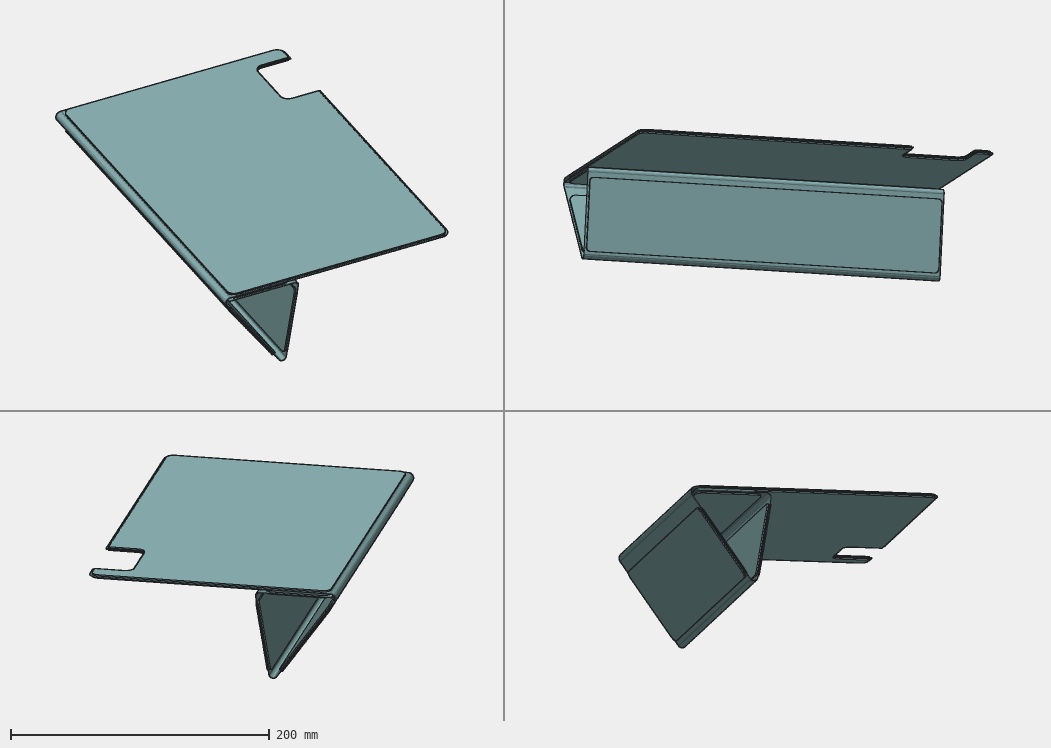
import cadquery as cq
import math

WIDTH = 289.0
DEPTH = 196.4
HEIGHT = 74.44
SHEET = 0.8
PAD = 1.1
LAYERS = SHEET + 2 * PAD
PAD_INSET = 1.75
PAD_CORNER_RADIUS = 6.0
REAR_LEG_PAD_CORNER_RADIUS = 3.0
SHEET_CORNER_RADIUS = 7.5
SHEET_EDGE_FILLET = 0.35

FRONT_RADIUS = 4.5
BOTTOM_RADIUS = 3.5
REAR_RADIUS = 3.5
FRONT_BEND = (FRONT_RADIUS, -PAD - FRONT_RADIUS)
BOTTOM_BEND = (49.8, BOTTOM_RADIUS - HEIGHT)
FLAP_TOP_Z = -LAYERS - PAD
REAR_BEND = (60.3, FLAP_TOP_Z - REAR_RADIUS)
FLAP_END_Y = 3.3

PAD_FRONT_Y = 5.3
FLAP_PAD_REAR_MARGIN = 3.0

FRONT_LEG_PAD_START = 10.3
FRONT_LEG_PAD_END = 75.7
REAR_LEG_PAD_START = 2.5
REAR_LEG_PAD_END = 60.0

NOTCH_WIDTH = 50.0
NOTCH_CENTER_X = -103.0
NOTCH_DEPTH = 31.0
NOTCH_RADIUS = 6.0
NOTCH_PAD_INSET = 0.75


def direction(start, end):
    length = math.dist(start, end)
    return ((end[0] - start[0]) / length, (end[1] - start[1]) / length)


def outward_normal(along):
    """Normal on the outer side of a panel whose sheet runs in the given direction."""
    return (along[1], -along[0])


def shifted(point, vector, distance):
    return (point[0] + vector[0] * distance, point[1] + vector[1] * distance)


def tangent_direction(start, start_radius, end, end_radius):
    """Direction of the straight panel that touches two bend circles on their outer side."""
    along = direction(start, end)
    tilt = math.asin((start_radius - end_radius) / math.dist(start, end))
    return (
        along[0] * math.cos(tilt) - along[1] * math.sin(tilt),
        along[0] * math.sin(tilt) + along[1] * math.cos(tilt),
    )


TO_FRONT = (-1.0, 0.0)
FRONT_LEG = tangent_direction(FRONT_BEND, FRONT_RADIUS, BOTTOM_BEND, BOTTOM_RADIUS)
REAR_LEG = tangent_direction(BOTTOM_BEND, BOTTOM_RADIUS, REAR_BEND, REAR_RADIUS)


def bend_points(center, along_in, along_out, radius):
    """Start, middle and end of the arc joining two panels."""
    normal_in = outward_normal(along_in)
    normal_out = outward_normal(along_out)
    middle = direction((0, 0), (normal_in[0] + normal_out[0], normal_in[1] + normal_out[1]))
    return [shifted(center, normal, radius) for normal in (normal_in, middle, normal_out)]


def sheet_face(depth):
    """The three bends at a depth below the outer face, from the top panel round to the flap."""
    return [
        bend_points(FRONT_BEND, TO_FRONT, FRONT_LEG, FRONT_RADIUS - depth),
        bend_points(BOTTOM_BEND, FRONT_LEG, REAR_LEG, BOTTOM_RADIUS - depth),
        bend_points(REAR_BEND, REAR_LEG, TO_FRONT, REAR_RADIUS - depth),
    ]


def folded_sheet():
    """Sheet running from the rear edge round the triangle, with softened side edges."""
    profile = cq.Workplane("YZ", origin=(-WIDTH / 2, 0, 0)).moveTo(DEPTH, -PAD)
    for start, middle, end in sheet_face(0):
        profile = profile.lineTo(*start).threePointArc(middle, end)
    profile = profile.lineTo(FLAP_END_Y, FLAP_TOP_Z).lineTo(FLAP_END_Y, FLAP_TOP_Z - SHEET)
    for start, middle, end in reversed(sheet_face(SHEET)):
        profile = profile.lineTo(*end).threePointArc(middle, start)
    sheet = profile.lineTo(DEPTH, -PAD - SHEET).close().extrude(WIDTH)
    rear_corners = cq.selectors.BoxSelector(
        (-WIDTH, DEPTH - SHEET, -LAYERS), (WIDTH, DEPTH + SHEET, 0)
    )
    sheet = sheet.edges("|Z").edges(rear_corners).fillet(SHEET_CORNER_RADIUS).cut(notch(0))
    side_edges = sheet.faces("<X or >X").edges("not |Z")
    return side_edges.fillet(SHEET_EDGE_FILLET)


def pad_pair(start, end, corner_radius):
    """Rounded pads on both faces of a panel; start and end lie on the middle of the sheet."""
    along = direction(start, end)
    length = math.dist(start, end)
    center = shifted(start, along, length / 2)
    plane = cq.Plane(origin=(0, *center), xDir=(1, 0, 0), normal=(0, *outward_normal(along)))
    return (
        cq.Workplane(plane)
        .rect(WIDTH - 2 * PAD_INSET, length)
        .extrude(LAYERS / 2, both=True)
        .edges(cq.selectors.ParallelDirSelector(plane.zDir))
        .fillet(corner_radius)
    )


def leg_pads(bend, bend_radius, along, pad_start, pad_end, corner_radius):
    """Pads of a leg, placed by distances along the leg from the bend it starts at."""
    middle = shifted(bend, outward_normal(along), bend_radius - SHEET / 2)
    start = shifted(middle, along, pad_start)
    end = shifted(middle, along, pad_end)
    return pad_pair(start, end, corner_radius)


def front_leg_pads():
    return leg_pads(
        FRONT_BEND,
        FRONT_RADIUS,
        FRONT_LEG,
        FRONT_LEG_PAD_START,
        FRONT_LEG_PAD_END,
        PAD_CORNER_RADIUS,
    )


def rear_leg_pads():
    return leg_pads(
        BOTTOM_BEND,
        BOTTOM_RADIUS,
        REAR_LEG,
        REAR_LEG_PAD_START,
        REAR_LEG_PAD_END,
        REAR_LEG_PAD_CORNER_RADIUS,
    )


def top_pads():
    middle_z = -LAYERS / 2
    pads = pad_pair((DEPTH - PAD_INSET, middle_z), (PAD_FRONT_Y, middle_z), PAD_CORNER_RADIUS)
    return pads.cut(notch(NOTCH_PAD_INSET))


def flap_pads():
    """Pads of the flap that closes the triangle and lies against the top panel."""
    middle_z = FLAP_TOP_Z - SHEET / 2
    rear_y = REAR_BEND[0] - FLAP_PAD_REAR_MARGIN
    return pad_pair((rear_y, middle_z), (PAD_FRONT_Y, middle_z), PAD_CORNER_RADIUS)


def notch(wall_offset):
    """Cutter with rounded inner corners, enlarged by an offset; it overshoots the rear edge."""
    radius = NOTCH_RADIUS + wall_offset
    width = NOTCH_WIDTH + 2 * wall_offset
    depth = NOTCH_DEPTH + wall_offset
    length = depth + 2 * radius
    return (
        cq.Workplane("XY", origin=(NOTCH_CENTER_X, DEPTH - depth + length / 2, -LAYERS))
        .rect(width, length)
        .extrude(LAYERS)
        .edges("|Z")
        .fillet(radius)
    )


result = (
    folded_sheet()
    .union(top_pads())
    .union(front_leg_pads())
    .union(rear_leg_pads())
    .union(flap_pads(), clean=False)
)